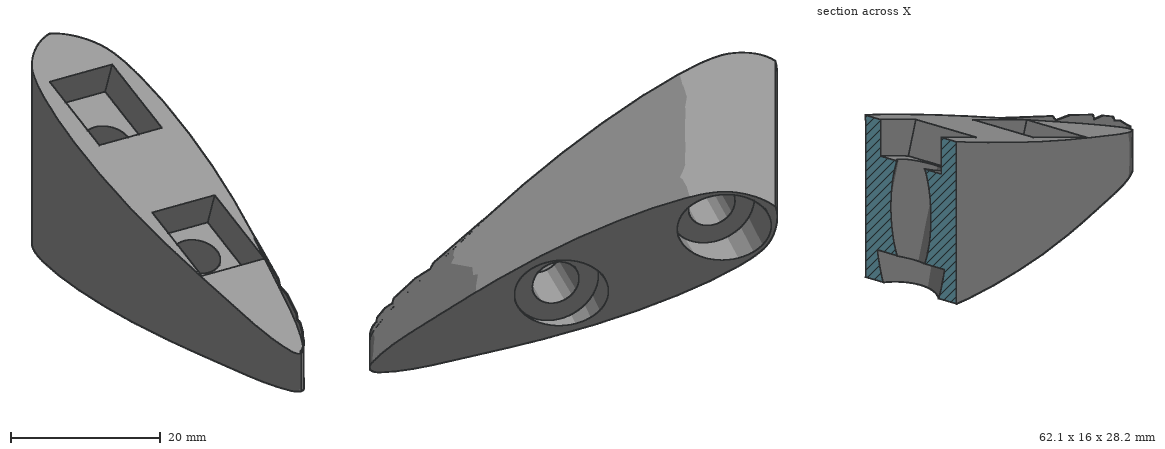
import cadquery as cq
import math

length = 62.1
width = 15.95
nose_height = 28.15
tail_height = 5.6
slope = math.atan((nose_height - tail_height) / length)

widest_x = 20.9
half_outline = [
    (0, 0), (0.75, 1.85), (2.6, 4.3), (4.5, 5.7), (6.4, 6.5), (10.1, 7.35),
    (widest_x, width / 2), (32.55, 7.3), (41.95, 5.85), (51.25, 4.0), (58.8, 2.1), (60.9, 1.25), (61.75, 0.7),
    (length, 0),
]

pocket_starts = (7.7, 33.05)
hole_centers = (14.2, 36.3)
web_lengths = (13.1, 7.65)
pocket_span = 12.3
pocket_width = 9.95
pocket_depth = 5.05
hole_diameter = 6.5
seat_diameter = 12.0

lip_thickness = 0.2
lip_crests = [
    [(41.6, 13.1), (50.1, 10.75), (50.65, 9.95)],
    [(50.65, 9.95), (53.2, 9.95), (57.1, 8.8), (57.3, 8.1)],
    [(57.3, 8.1), (58.65, 8.25), (60.2, 7.7), (60.4, 7.1), (61.2, 6.9), (length, 5.95)],
]


def top_z(x):
    """Height of the sloping top at x."""
    return nose_height - x * math.tan(slope)


def make_foil():
    """Full-height prism with the foil outline."""
    lower_points = [(x, -y) for x, y in reversed(half_outline)]
    return (
        cq.Workplane("XY")
        .moveTo(*half_outline[0])
        .spline(half_outline[1:], includeCurrent=True)
        .spline(lower_points[1:], includeCurrent=True)
        .close()
        .extrude(nose_height)
    )


def side_prism(points):
    """Extrude an XZ polygon across the whole width."""
    return cq.Workplane("XZ").polyline(points).close().extrude(width, both=True)


def sloped_plane(x, z):
    """Plane parallel to the top, its normal pointing out of the part."""
    normal = (math.sin(slope), 0, math.cos(slope))
    down_slope = (math.cos(slope), 0, -math.sin(slope))
    return cq.Plane(origin=(x, 0, z), xDir=down_slope, normal=normal)


def pocket(start):
    """Rectangular pocket with its floor parallel to the top."""
    center = start + pocket_span / 2
    return (
        cq.Workplane(sloped_plane(center, top_z(center)))
        .rect(pocket_span / math.cos(slope), pocket_width)
        .extrude(-pocket_depth)
    )


def bolt_hole(center, web_length):
    """Bolt hole from a pocket floor, opening into a wider bore from below."""
    floor_z = top_z(center) - pocket_depth / math.cos(slope)
    floor = cq.Workplane(sloped_plane(center, floor_z))
    hole = floor.circle(hole_diameter / 2).extrude(-web_length)
    seat = floor.workplane(offset=-web_length).circle(seat_diameter / 2).extrude(-nose_height)
    return hole.union(seat)


foil = make_foil()
body = foil.intersect(side_prism([(0, 0), (0, nose_height), (length, tail_height), (length, 0)]))

edge_band = foil.cut(foil.translate((0, -lip_thickness, 0)))
for crest in lip_crests:
    root = [(crest[-1][0], 0), (crest[0][0], 0)]
    body = body.union(edge_band.intersect(side_prism(crest + root)))

for start, center, web_length in zip(pocket_starts, hole_centers, web_lengths):
    body = body.cut(pocket(start)).cut(bolt_hole(center, web_length))

result = body